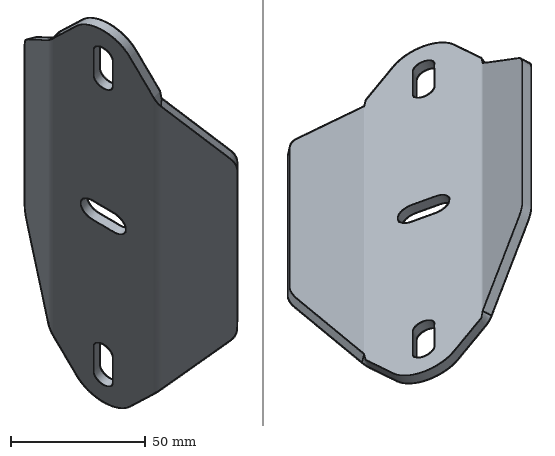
import cadquery as cq
import math

length = 222.0
width = 99.2
depth = 20.5
thickness = 4.0
half_length = length / 2

bend_angle = math.radians(35)
bend_start = 23.5
bend_inner_radius = 1.0
bend_outer_radius = bend_inner_radius + thickness
trim_margin = 0.7
trim_overrun = math.radians(5)
bend_end_x = bend_start + bend_outer_radius * math.sin(bend_angle)
bend_end_y = bend_outer_radius * (1 - math.cos(bend_angle))
wing_length = (width / 2 - bend_end_x) / math.cos(bend_angle)

tip_radius = 15.0
edge_slope = math.radians(35)
wing_corner_radius = 11.0

end_slot_length = 24.0
end_slot_width = 8.9
end_slot_z = 88.5
center_slot_length = 21.0
center_slot_width = 11.3

tip_center_z = half_length - tip_radius
tangent_x = tip_radius * math.cos(edge_slope)
tangent_z = tip_center_z + tip_radius * math.sin(edge_slope)


def edge_height(x):
    """Half height of the plate on the slanted edge at X distance x."""
    return tangent_z - (x - tangent_x) / math.tan(edge_slope)


def make_panel():
    side_z = edge_height(bend_start)
    outline = (
        cq.Workplane("XZ")
        .moveTo(bend_start, -side_z)
        .lineTo(bend_start, side_z)
        .lineTo(tangent_x, tangent_z)
        .threePointArc((0, half_length), (-tangent_x, tangent_z))
        .lineTo(-bend_start, side_z)
        .lineTo(-bend_start, -side_z)
        .lineTo(-tangent_x, -tangent_z)
        .threePointArc((0, -half_length), (tangent_x, -tangent_z))
        .close()
    )
    return outline.extrude(-thickness)


def trim_section(angle):
    """Radial section through the right-hand bend, oversize in radius, with the trimmed height."""
    z = edge_height(bend_start + bend_outer_radius * math.sin(angle))
    inner = bend_inner_radius - trim_margin
    outer = bend_outer_radius + trim_margin
    corners = []
    for radius, height in ((outer, -z), (inner, -z), (inner, z), (outer, z)):
        x = bend_start + radius * math.sin(angle)
        y = bend_outer_radius - radius * math.cos(angle)
        corners.append(cq.Vector(x, y, height))
    return cq.Wire.makePolygon(corners, close=True)


def make_bend():
    sector = (
        cq.Workplane("YZ", origin=(bend_start, thickness / 2, 0))
        .rect(thickness, length)
        .revolve(
            math.degrees(bend_angle),
            (bend_outer_radius - thickness / 2, 0, 0),
            (bend_outer_radius - thickness / 2, 1, 0),
        )
    )
    angles = (-trim_overrun, bend_angle / 2, bend_angle + trim_overrun)
    trimmer = cq.Solid.makeLoft([trim_section(angle) for angle in angles])
    return sector.intersect(cq.Workplane(trimmer))


def make_wing():
    wing_plane = cq.Plane(
        origin=(bend_end_x, bend_end_y, 0),
        xDir=(math.cos(bend_angle), math.sin(bend_angle), 0),
        normal=(math.sin(bend_angle), -math.cos(bend_angle), 0),
    )
    root_z = edge_height(bend_end_x)
    end_z = edge_height(width / 2)
    outline = [(0, -root_z), (wing_length, -end_z), (wing_length, end_z), (0, root_z)]
    wing = cq.Workplane(wing_plane).polyline(outline).close().extrude(-thickness)
    outer_corners = cq.selectors.BoxSelector(
        (width / 2 - thickness, 0, -half_length), (width, depth, half_length)
    )
    normal_edges = cq.selectors.ParallelDirSelector(wing_plane.zDir)
    return wing.edges(outer_corners & normal_edges).fillet(wing_corner_radius)


def make_slot(z, slot_length, slot_width, angle):
    return (
        cq.Workplane("XZ")
        .center(0, z)
        .slot2D(slot_length, slot_width, angle)
        .extrude(-thickness)
    )


right_side = make_bend().union(make_wing())
result = make_panel().union(right_side).union(right_side.mirror("YZ"))

for slot_z in (-end_slot_z, end_slot_z):
    result = result.cut(make_slot(slot_z, end_slot_length, end_slot_width, 90))
result = result.cut(make_slot(0, center_slot_length, center_slot_width, 0))